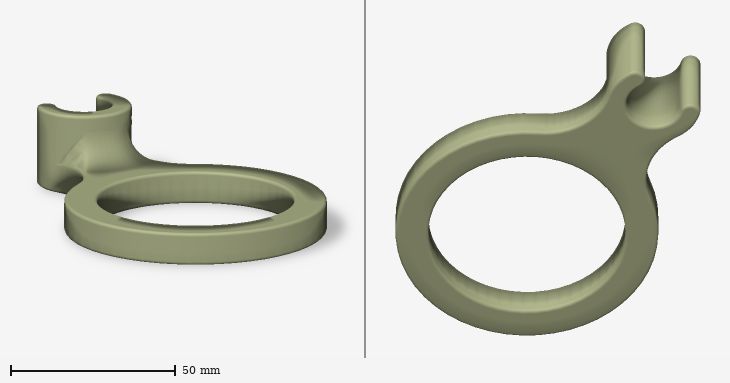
import cadquery as cq
import math

RING_OUTER_RADIUS = 40.0
RING_HOLE_RADIUS = 30.0
RING_THICKNESS = 10.0
EDGE_FILLET = 1.0

OVERALL_LENGTH = 110.9
CLIP_CENTER_X = -63.5
CLIP_OUTER_RADIUS = 14.5
CLIP_WALL = 6.0
CLIP_HEIGHT = 25.0
CLIP_BORE_RADIUS = CLIP_OUTER_RADIUS - CLIP_WALL

TIP_RADIUS = CLIP_WALL / 2
TIP_CENTER_RADIUS = CLIP_BORE_RADIUS + TIP_RADIUS
TIP_CENTER_X = RING_OUTER_RADIUS - OVERALL_LENGTH + TIP_RADIUS
TIP_ANGLE = math.acos((TIP_CENTER_X - CLIP_CENTER_X) / TIP_CENTER_RADIUS)

FLANK_RADIUS = 20.0

SADDLE_RADIUS = 10.0
SADDLE_TOP = RING_THICKNESS + SADDLE_RADIUS
SADDLE_REACH = CLIP_OUTER_RADIUS + SADDLE_RADIUS
SADDLE_ARC_INSET = SADDLE_RADIUS * (1 - math.sqrt(0.5))
ROOT_DEPTH = 4.0

CORNER_CUSP_GAP = math.radians(3.4)
CORNER_ROOT_RADIUS = CLIP_OUTER_RADIUS - 0.05


def polar(radius, angle, z=0.0):
    """Vector given in cylindrical coordinates."""
    return cq.Vector(radius * math.cos(angle), radius * math.sin(angle), z)


def clip_point(radius, angle, z=0.0):
    """Point in cylindrical coordinates about the clip axis."""
    return cq.Vector(CLIP_CENTER_X, 0) + polar(radius, angle, z)


def angle_between(side_a, side_b, opposite):
    """Angle of a triangle between two sides, from its three side lengths."""
    return math.acos((side_a**2 + side_b**2 - opposite**2) / (2 * side_a * side_b))


def plan(point):
    """X and Y of a point, for sketching."""
    return (point.x, point.y)


def mirrored(point):
    """X and Y of a point mirrored to the other side of the XZ plane."""
    return (point.x, -point.y)


FLANK_REACH = CLIP_OUTER_RADIUS + FLANK_RADIUS
FLANK_ANGLE = angle_between(FLANK_REACH, -CLIP_CENTER_X, RING_OUTER_RADIUS + FLANK_RADIUS)
FLANK_CENTER = clip_point(FLANK_REACH, FLANK_ANGLE)
CLIP_TANGENT = clip_point(CLIP_OUTER_RADIUS, FLANK_ANGLE)
RING_TANGENT = FLANK_CENTER.normalized() * RING_OUTER_RADIUS

SADDLE_HALF_ANGLE = FLANK_ANGLE - angle_between(FLANK_REACH, SADDLE_REACH, FLANK_RADIUS + EDGE_FILLET)


def ring_and_arm():
    """Ring and arm plate, reaching up to the clip's outer circle."""
    chord_middle = (CLIP_TANGENT + RING_TANGENT) * 0.5
    flank_middle = FLANK_CENTER + (chord_middle - FLANK_CENTER).normalized() * FLANK_RADIUS
    outline = (
        cq.Workplane()
        .moveTo(*plan(CLIP_TANGENT))
        .threePointArc(plan(flank_middle), plan(RING_TANGENT))
        .threePointArc((RING_OUTER_RADIUS, 0), mirrored(RING_TANGENT))
        .threePointArc(mirrored(flank_middle), mirrored(CLIP_TANGENT))
        .threePointArc(plan(clip_point(CLIP_OUTER_RADIUS, 0)), plan(CLIP_TANGENT))
        .close()
    )
    hole = cq.Workplane().circle(RING_HOLE_RADIUS).extrude(RING_THICKNESS)
    return outline.extrude(RING_THICKNESS).cut(hole)


def c_clip(height):
    """C with round tips and the given height, standing on Z = 0."""
    outer_end = clip_point(CLIP_OUTER_RADIUS, TIP_ANGLE)
    bore_end = clip_point(CLIP_BORE_RADIUS, TIP_ANGLE)
    tip_end = clip_point(TIP_CENTER_RADIUS, TIP_ANGLE) + polar(TIP_RADIUS, TIP_ANGLE + math.pi / 2)
    return (
        cq.Workplane()
        .moveTo(*mirrored(outer_end))
        .threePointArc(plan(clip_point(CLIP_OUTER_RADIUS, 0)), plan(outer_end))
        .threePointArc(plan(tip_end), plan(bore_end))
        .threePointArc(plan(clip_point(CLIP_BORE_RADIUS, 0)), mirrored(bore_end))
        .threePointArc(mirrored(tip_end), mirrored(outer_end))
        .close()
        .extrude(height)
    )


def rounded(body):
    """Round the top and bottom rims."""
    return body.faces("<Z or >Z").edges().fillet(EDGE_FILLET)


def holder_zone():
    """Wedge that takes in the holder and, below the saddle's top, the clip's back wall."""
    bore_tangent = clip_point(CLIP_BORE_RADIUS, TIP_ANGLE)
    joint = CLIP_TANGENT - bore_tangent
    inner = bore_tangent - joint.normalized() * CLIP_WALL
    outer = CLIP_TANGENT + joint * ((RING_OUTER_RADIUS - CLIP_TANGENT.x) / joint.x)
    return (
        cq.Workplane()
        .polyline([plan(inner), plan(outer), mirrored(outer), mirrored(inner)])
        .close()
        .extrude(SADDLE_TOP)
    )


def back_wall():
    """Back of the C from inside the plate up to the saddle's top."""
    height = SADDLE_RADIUS + ROOT_DEPTH
    return c_clip(height).translate((0, 0, SADDLE_TOP - height)).intersect(holder_zone())


def saddle():
    """Concave quarter-round revolved about the clip axis, rooted inside the arm."""
    root_z = RING_THICKNESS - ROOT_DEPTH
    half_angle = math.degrees(SADDLE_HALF_ANGLE)
    return (
        cq.Workplane("XZ")
        .moveTo(CLIP_OUTER_RADIUS, root_z)
        .lineTo(CLIP_OUTER_RADIUS, SADDLE_TOP)
        .threePointArc(
            (CLIP_OUTER_RADIUS + SADDLE_ARC_INSET, RING_THICKNESS + SADDLE_ARC_INSET),
            (SADDLE_REACH, RING_THICKNESS),
        )
        .lineTo(SADDLE_REACH, root_z)
        .close()
        .revolve(2 * half_angle, (0, 0, 0), (0, -1, 0))
        .rotate((0, 0, 0), (0, 0, 1), half_angle)
        .translate((CLIP_CENTER_X, 0, 0))
    )


def corner_blend():
    """Three-sided blend from the saddle's +Y end down to the cusp between flank and clip."""
    cusp_angle = FLANK_ANGLE - CORNER_CUSP_GAP
    cusp_from_flank = clip_point(CLIP_OUTER_RADIUS, cusp_angle) - FLANK_CENTER
    foot = clip_point(SADDLE_REACH, SADDLE_HALF_ANGLE, RING_THICKNESS)
    foot_from_flank = foot - FLANK_CENTER

    fillet_center_z = RING_THICKNESS - EDGE_FILLET
    to_fillet_center = FLANK_RADIUS + EDGE_FILLET - cusp_from_flank.Length
    cusp_z = fillet_center_z + math.sqrt(EDGE_FILLET**2 - to_fillet_center**2)
    cusp = clip_point(CORNER_ROOT_RADIUS, cusp_angle, cusp_z)

    peak = clip_point(CORNER_ROOT_RADIUS, SADDLE_HALF_ANGLE, SADDLE_TOP)
    wall_middle = clip_point(
        CORNER_ROOT_RADIUS, (cusp_angle + SADDLE_HALF_ANGLE) / 2, (cusp_z + SADDLE_TOP) / 2
    )
    saddle_middle = clip_point(
        CLIP_OUTER_RADIUS + SADDLE_ARC_INSET, SADDLE_HALF_ANGLE, RING_THICKNESS + SADDLE_ARC_INSET
    )

    rim_z = (cusp_z + RING_THICKNESS) / 2
    rim_inset = EDGE_FILLET - math.sqrt(EDGE_FILLET**2 - (rim_z - fillet_center_z) ** 2)
    start_angle = math.atan2(cusp_from_flank.y, cusp_from_flank.x)
    end_angle = math.atan2(foot_from_flank.y, foot_from_flank.x)
    rim_middle = FLANK_CENTER + polar(FLANK_RADIUS + rim_inset, (start_angle + end_angle) / 2, rim_z)

    sides = [
        cq.Edge.makeSpline([cusp, wall_middle, peak]),
        cq.Edge.makeThreePointArc(peak, saddle_middle, foot),
        cq.Edge.makeSpline([foot, rim_middle, cusp]),
    ]
    patch = cq.Face.makeNSidedSurface(sides, [])
    return cq.Workplane(cq.Solid.extrudeLinear(patch, cq.Vector(0, 0, -ROOT_DEPTH)))


def build_holder():
    """Ring and arm with the saddle, its corner blends and the lower back wall of the clip."""
    full_plate = rounded(ring_and_arm().union(c_clip(RING_THICKNESS)))
    body = full_plate.intersect(holder_zone())
    blend = corner_blend()
    for feature in (back_wall(), saddle(), blend, blend.mirror("XZ")):
        body = body.union(feature)
    return body


def build_clip():
    """Tips of the C and the band that joins them above the holder's back wall."""
    return rounded(c_clip(CLIP_HEIGHT)).cut(holder_zone())


holder = build_holder()
clip = build_clip()

result = cq.Compound.makeCompound([*holder.solids().vals(), *clip.solids().vals()])